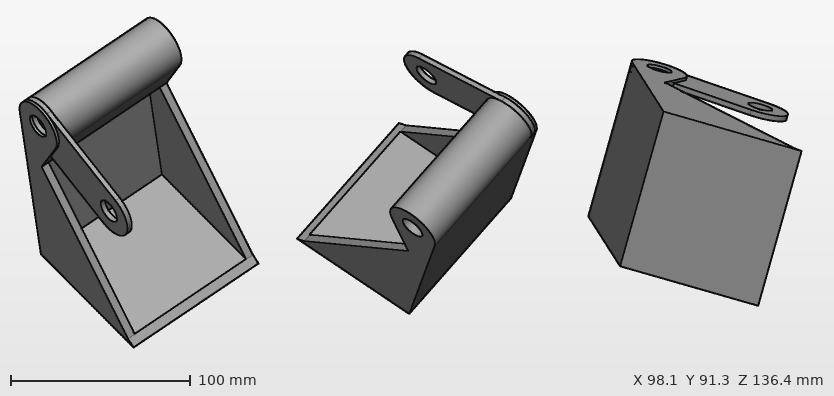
import cadquery as cq
import math


hub_radius = 16.0
bore_diameter = 14.0

bucket_width = 91.28
side_wall = 5.0
plate_thickness = 3.0
bevel_angle = 30.0
heel = (2.35, -113.9)
tip = (82.08, -120.39)
notch = (3.1, -33.9)

link_thickness = 3.2
link_setback = side_wall - link_thickness
link_end = (58.7, -21.0)

front_face = -bucket_width / 2
link_front = front_face + link_setback


def tangent_point(point, side):
    """Point where the tangent from an outside point touches the hub circle.

    side is +1 or -1 and selects one of the two tangents.
    """
    distance = math.hypot(*point)
    angle = math.atan2(point[1], point[0]) + side * math.acos(hub_radius / distance)
    return (hub_radius * math.cos(angle), hub_radius * math.sin(angle))


def extrude_y(profile, start, length):
    """Extrude a closed XZ profile along +Y from the given Y position."""
    return profile.extrude(-length).translate((0, start, 0))


def bore(center):
    """Cylinder along Y, as wide as the bucket, that cuts a pin bore."""
    profile = cq.Workplane("XZ").center(*center).circle(bore_diameter / 2)
    return extrude_y(profile, front_face, bucket_width)


def direction(start, end):
    """Unit vector from one XZ point to another."""
    length = math.dist(start, end)
    return ((end[0] - start[0]) / length, (end[1] - start[1]) / length)


def offset(point, first, first_distance, second, second_distance):
    """Point moved by the given distances along two directions."""
    return (
        point[0] + first_distance * first[0] + second_distance * second[0],
        point[1] + first_distance * first[1] + second_distance * second[1],
    )


hub_back = tangent_point(heel, -1)
hub_neck = tangent_point(notch, 1)
floor_along = direction(heel, tip)
floor_inward = (-floor_along[1], floor_along[0])
back_up = direction(heel, hub_back)

bevel_run = plate_thickness / math.tan(math.radians(bevel_angle))
lip = offset(tip, floor_along, -bevel_run, floor_inward, plate_thickness)


def make_cavity():
    """Open space between the side walls, back plate and floor."""
    corner_sine = floor_along[0] * back_up[1] - floor_along[1] * back_up[0]
    shift = plate_thickness / corner_sine
    inner_heel = offset(heel, floor_along, shift, back_up, shift)

    roof_height = (notch[0] - inner_heel[0]) * back_up[0] + (notch[1] - inner_heel[1]) * back_up[1]
    roof_back = (inner_heel[0] + roof_height * back_up[0], inner_heel[1] + roof_height * back_up[1])

    profile = cq.Workplane("XZ").polyline([notch, lip, inner_heel, roof_back]).close()
    return extrude_y(profile, front_face + side_wall, bucket_width - 2 * side_wall)


def make_link_blank():
    """Link without bores: a flat bar with a full round at each end."""
    length = math.hypot(*link_end)
    slope = math.degrees(math.atan2(link_end[1], link_end[0]))
    profile = (
        cq.Workplane("XZ")
        .center(link_end[0] / 2, link_end[1] / 2)
        .slot2D(length + 2 * hub_radius, 2 * hub_radius, slope)
    )
    return extrude_y(profile, link_front, link_thickness)


def make_bucket():
    """Hub, back plate, floor and side walls, slotted for the link."""
    profile = (
        cq.Workplane("XZ")
        .moveTo(*heel)
        .lineTo(*tip)
        .lineTo(*lip)
        .lineTo(*notch)
        .lineTo(*hub_neck)
        .threePointArc((0, hub_radius), hub_back)
        .close()
    )
    body = extrude_y(profile, front_face, bucket_width)
    return body.cut(make_cavity()).cut(make_link_blank()).cut(bore((0, 0)))


def make_link():
    """Flat link seated in the hub slot, with a bore at each end."""
    return make_link_blank().cut(bore((0, 0))).cut(bore(link_end))


bucket = make_bucket()
link = make_link()

result = cq.Compound.makeCompound([bucket.val(), link.val()])